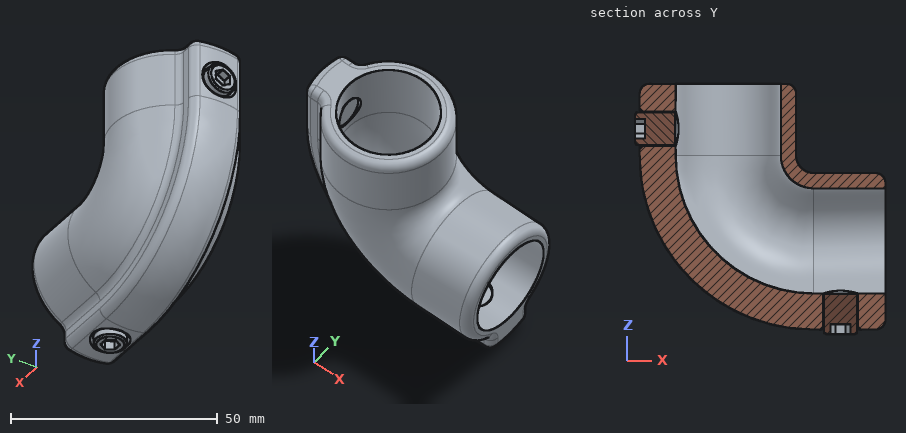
import cadquery as cq
import math

TUBE_RADIUS = 16.5
BORE_RADIUS = 12.7
INNER_BEND_RADIUS = 4.2
BEND_RADIUS = TUBE_RADIUS + INNER_BEND_RADIUS
LEG_END = 38.1

RIB_HALF_WIDTH = 7.2
RIB_RADIUS = 21.5
ROUND_RADIUS = 2.4

SCREW_RADIUS = 4.0
SCREW_POSITION = 27.2
SCREW_PROTRUSION = 1.1
SCREW_TIP = 12.75
SCREW_CHAMFER_WIDTH = 0.6
SCREW_CHAMFER_DEPTH = 0.35
HEX_ACROSS_FLATS = 4.0
HEX_DEPTH = 2.4
HOLE_CLEARANCE = 0.1
HOLE_CHAMFER = 0.8

HOLE_RADIUS = SCREW_RADIUS + HOLE_CLEARANCE
SCREW_OUTER = RIB_RADIUS + SCREW_PROTRUSION


def swap_legs(shape):
    """Turn a shape on the Z leg half a turn about the X = Z diagonal, onto the X leg."""
    return shape.rotate((0, 0, 0), (1, 0, 1), 180)


def polar(center, radius, angle):
    return (center[0] + radius * math.cos(angle), center[1] + radius * math.sin(angle))


def outer_profile():
    """Tube circle with the rounded rib on its -X side, at the start of the bend."""
    root_y = RIB_HALF_WIDTH + ROUND_RADIUS
    root = (-math.sqrt((TUBE_RADIUS + ROUND_RADIUS) ** 2 - root_y ** 2), root_y)
    root_angle = math.atan2(root[1], root[0])
    corner_y = RIB_HALF_WIDTH - ROUND_RADIUS
    corner = (-math.sqrt((RIB_RADIUS - ROUND_RADIUS) ** 2 - corner_y ** 2), corner_y)
    corner_angle = math.atan2(corner[1], corner[0])

    tube_end = polar((0, 0), TUBE_RADIUS, root_angle)
    root_middle = polar(root, ROUND_RADIUS, (root_angle - 1.5 * math.pi) / 2)
    root_end = (root[0], RIB_HALF_WIDTH)
    corner_start = (corner[0], RIB_HALF_WIDTH)
    corner_middle = polar(corner, ROUND_RADIUS, (math.pi / 2 + corner_angle) / 2)
    corner_end = polar((0, 0), RIB_RADIUS, corner_angle)

    def mirrored(point):
        return (point[0], -point[1])

    return (
        cq.Workplane("XY", origin=(0, 0, BEND_RADIUS))
        .moveTo(*mirrored(tube_end))
        .threePointArc((TUBE_RADIUS, 0), tube_end)
        .threePointArc(root_middle, root_end)
        .lineTo(*corner_start)
        .threePointArc(corner_middle, corner_end)
        .threePointArc((-RIB_RADIUS, 0), mirrored(corner_end))
        .threePointArc(mirrored(corner_middle), mirrored(corner_start))
        .lineTo(*mirrored(root_end))
        .threePointArc(mirrored(root_middle), mirrored(tube_end))
        .close()
    )


def bore_profile():
    return cq.Workplane("XY", origin=(0, 0, BEND_RADIUS)).circle(BORE_RADIUS)


def bend(profile):
    """Quarter turn about the Y-parallel line through the centre of the bend."""
    return profile.revolve(90, (BEND_RADIUS, 0, 0), (BEND_RADIUS, -1, 0))


def leg(profile):
    return profile.extrude(LEG_END - BEND_RADIUS)


def rounded_leg():
    return leg(outer_profile()).faces(">Z").edges().fillet(ROUND_RADIUS)


def screw_hole():
    """Through hole in the rib of the Z leg."""
    return (
        cq.Workplane("YZ", origin=(-SCREW_OUTER, 0, SCREW_POSITION))
        .circle(HOLE_RADIUS)
        .extrude(SCREW_OUTER)
    )


def chamfered_hole(z_leg):
    """Cut the screw hole in a solid leg and chamfer its mouth."""
    mouth_side = cq.selectors.BoxSelector(
        (-SCREW_OUTER, -HOLE_RADIUS, SCREW_POSITION - HOLE_RADIUS),
        (-TUBE_RADIUS, HOLE_RADIUS, SCREW_POSITION + HOLE_RADIUS),
    )
    return z_leg.cut(screw_hole()).edges(mouth_side).chamfer(HOLE_CHAMFER)


def make_housing():
    z_leg = chamfered_hole(rounded_leg())
    body = bend(outer_profile()).union(z_leg).union(swap_legs(z_leg))
    z_bore = leg(bore_profile())
    return body.cut(bend(bore_profile())).cut(z_bore).cut(swap_legs(z_bore))


def make_screw():
    """Set screw in the Z leg, with a chamfered outer end and a hexagon socket."""
    body = (
        cq.Workplane("XY", origin=(0, 0, SCREW_POSITION))
        .moveTo(-SCREW_TIP, 0)
        .lineTo(-SCREW_TIP, SCREW_RADIUS)
        .lineTo(-SCREW_OUTER + SCREW_CHAMFER_DEPTH, SCREW_RADIUS)
        .lineTo(-SCREW_OUTER, SCREW_RADIUS - SCREW_CHAMFER_WIDTH)
        .lineTo(-SCREW_OUTER, 0)
        .close()
        .revolve(360, (0, 0, 0), (1, 0, 0))
    )
    hex_across_corners = HEX_ACROSS_FLATS / math.cos(math.pi / 6)
    socket = (
        cq.Workplane("YZ", origin=(-SCREW_OUTER, 0, SCREW_POSITION))
        .transformed(rotate=(0, 0, 90))
        .polygon(6, hex_across_corners)
        .extrude(HEX_DEPTH)
    )
    return body.cut(socket)


housing = make_housing()
screws = []
for on_x_leg in (False, True):
    screw = make_screw()
    if on_x_leg:
        screw = swap_legs(screw)
    screws.append(screw.val())

result = cq.Compound.makeCompound([housing.val(), *screws])